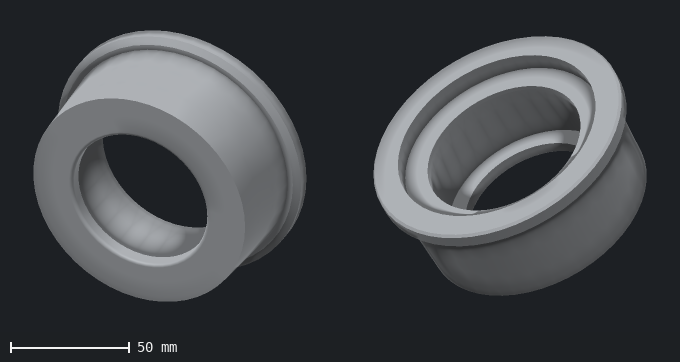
import cadquery as cq

total_length = 46.0
flange_thickness = 8.0

flange_radius = 113 / 2
front_chamfer_axial = 1.8
front_chamfer_radial = 3.0
back_chamfer = 1.0

sleeve_root_radius = 51.1
sleeve_end_radius = 49.2

lip_radius = 62.0 / 2
mouth_round = 1.6
lip_end = 6.0
chamber_front_radius = 76.8 / 2
land_radius = 69.6 / 2
land_length = 2.0

recess_radius = 90.0 / 2
recess_depth = 8.0

recess_floor = total_length - recess_depth
flange_front = total_length - flange_thickness
mouth_arc_offset = mouth_round * (1 - 0.5 ** 0.5)

section = (
    cq.Workplane("XY")
    .moveTo(lip_radius + mouth_round, 0)
    .lineTo(sleeve_end_radius, 0)
    .lineTo(sleeve_root_radius, flange_front)
    .lineTo(flange_radius - front_chamfer_radial, flange_front)
    .lineTo(flange_radius, flange_front + front_chamfer_axial)
    .lineTo(flange_radius, total_length - back_chamfer)
    .lineTo(flange_radius - back_chamfer, total_length)
    .lineTo(recess_radius, total_length)
    .lineTo(recess_radius, recess_floor)
    .lineTo(land_radius, recess_floor)
    .lineTo(land_radius, recess_floor - land_length)
    .lineTo(chamber_front_radius, lip_end)
    .lineTo(lip_radius, lip_end)
    .lineTo(lip_radius, mouth_round)
    .threePointArc(
        (lip_radius + mouth_arc_offset, mouth_arc_offset),
        (lip_radius + mouth_round, 0),
    )
    .close()
)

result = section.revolve(360, (0, 0, 0), (0, 1, 0))